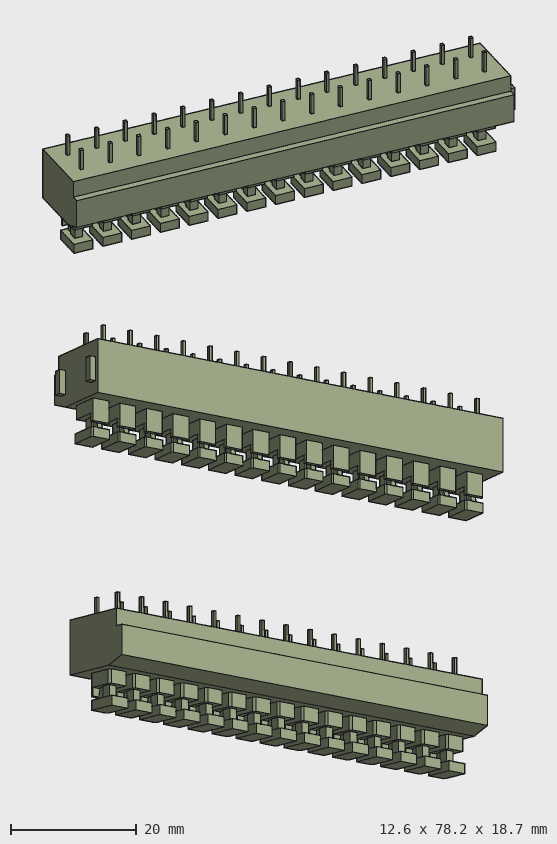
import cadquery as cq

pole_count = 15
pitch = 5.08
row_spacing = 5.0
total_length = 78.2
total_width = 12.6
total_height = 18.7

tab_length = 1.05
body_length = total_length - tab_length
body_height = 9.0
top_width = 11.35
step_depth = 2.85
bevel_start = 9.4
bevel_height = 1.2

tab_width = 1.2
tab_height = 4.0
tab_positions = (1.27, 10.05)

button_bottom_depth = 6.15
pin_length = total_height - body_height - button_bottom_depth
pin_width = 0.6
pin_thickness = 0.5
first_pole_y = 2.9
back_row_x = 3.18
pin_root = 1.0

guide_back = 2.85
guide_front = 7.75
guide_width = 3.3
guide_offset = 0.5
guide_depth = 2.35
guide_corner_x = 0.48
guide_corner_y = 0.28
lip_thickness = 0.75
lip_depth = 3.75

button_back = 3.53
button_length = 4.95
button_width = 3.35
button_offset = 0.25
button_top_depth = 4.5
button_corner = 0.25

stem_front = 6.8
stem_joint = 5.2
stem_width = 1.4
rear_stem_width = 0.9
rear_stem_top = 4.25
rear_stem_bottom = 3.75
stem_offset = 0.22


def make_box(x0, x1, y_centre, width, z0, z1):
    """Box between two X and two Z limits, centred on y_centre."""
    box = cq.Workplane("XY").box(x1 - x0, width, z1 - z0, centered=(False, True, False))
    return box.translate((x0, y_centre, z0))


def make_body():
    """Long stepped housing, bevelled along its lower front edge."""
    outline = [
        (0, 0),
        (bevel_start, 0),
        (total_width, bevel_height),
        (total_width, body_height - step_depth),
        (top_width, body_height - step_depth),
        (top_width, body_height),
        (0, body_height),
    ]
    return cq.Workplane("XZ").polyline(outline).close().extrude(-body_length)


def make_end_tab(x_centre):
    """Joining tab on the far end of the housing."""
    top = body_height - step_depth
    tab = cq.Workplane("XY").box(tab_width, tab_length, tab_height, centered=(True, False, False))
    return tab.translate((x_centre, body_length, top - tab_height))


def make_pin(x_centre, y_centre):
    """Solder pin standing on the top face, rooted inside the housing."""
    half_width = pin_width / 2
    return make_box(
        x_centre - half_width,
        x_centre + half_width,
        y_centre,
        pin_thickness,
        body_height - pin_root,
        body_height + pin_length,
    )


def make_guide(pole_y):
    """Guide block with two bevelled near corners and a longer lip at its back."""
    near = pole_y + guide_offset - guide_width / 2
    far = near + guide_width
    outline = [
        (guide_back, far),
        (guide_back, near + guide_corner_y),
        (guide_back + guide_corner_x, near),
        (guide_front - guide_corner_x, near),
        (guide_front, near + guide_corner_y),
        (guide_front, far),
    ]
    prism = cq.Workplane("XY").polyline(outline).close().extrude(-lip_depth)
    below_guide = make_box(
        guide_back + lip_thickness,
        guide_front,
        pole_y + guide_offset,
        guide_width,
        -lip_depth,
        -guide_depth,
    )
    return prism.cut(below_guide)


def make_button(pole_y):
    """Push button head with its stem reaching up to the guide block."""
    head = make_box(
        button_back,
        button_back + button_length,
        pole_y + button_offset,
        button_width,
        -button_bottom_depth,
        -button_top_depth,
    )
    head = head.edges("|Z and <X and >Y").chamfer(button_corner)
    stem_y = pole_y + stem_offset
    front_stem = make_box(stem_joint, stem_front, stem_y, stem_width, -button_top_depth, -guide_depth)
    rear_outline = [
        (rear_stem_bottom, -button_top_depth),
        (stem_joint, -button_top_depth),
        (stem_joint, -guide_depth),
        (rear_stem_top, -guide_depth),
    ]
    rear_stem = cq.Workplane("XZ").polyline(rear_outline).close().extrude(rear_stem_width / 2, both=True)
    rear_stem = rear_stem.translate((0, stem_y, 0))
    return head.union(front_stem).union(rear_stem)


result = make_body()
for tab_x in tab_positions:
    result = result.union(make_end_tab(tab_x))

for pole in range(pole_count):
    pole_y = first_pole_y + pole * pitch
    result = result.union(make_pin(back_row_x, pole_y))
    result = result.union(make_pin(back_row_x + row_spacing, pole_y))
    result = result.union(make_guide(pole_y))
    result = result.union(make_button(pole_y))